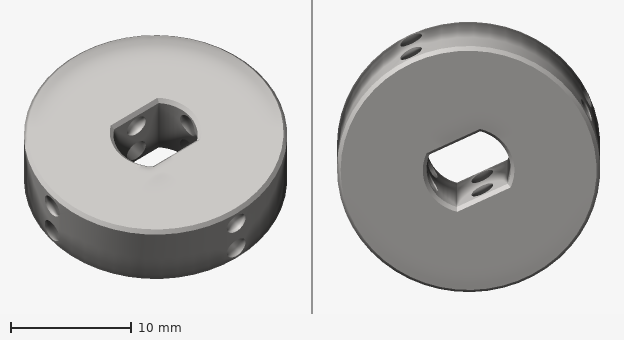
import cadquery as cq

body_diameter = 21.88
body_height = 6.25
chamfer_size = 0.3

bore_diameter = 7.0
bore_flat_width = 5.19

hole_diameter = 2.0
hole_row_heights = (body_height / 4, 3 * body_height / 4)


def make_body():
    """Disc standing on the XY plane, chamfered around both rims."""
    disc = cq.Workplane("XY").circle(body_diameter / 2).extrude(body_height)
    return disc.edges("%CIRCLE").chamfer(chamfer_size)


def make_bore():
    """Round bore with one flat facing +X and one facing -X, running the full height."""
    cylinder = cq.Workplane("XY").circle(bore_diameter / 2).extrude(body_height)
    slab = cq.Workplane("XY").rect(bore_flat_width, bore_diameter).extrude(body_height)
    return cylinder.intersect(slab)


def make_radial_holes():
    """Through holes along X and along Y, crossing on the axis in each row."""
    holes = cq.Workplane("XY")
    for height in hole_row_heights:
        for plane_name in ("XZ", "YZ"):
            hole = (
                cq.Workplane(plane_name, origin=(0, 0, height))
                .circle(hole_diameter / 2)
                .extrude(body_diameter, both=True)
            )
            holes = holes.add(hole)
    return holes.combine()


def chamfer_bore_mouths(body):
    """Chamfer the edges of the bore on both end faces, leaving the outer rims alone."""
    around_bore = cq.selectors.BoxSelector(
        (-bore_diameter, -bore_diameter, -body_height),
        (bore_diameter, bore_diameter, 2 * body_height),
        boundingbox=True,
    )
    return body.faces("<Z or >Z").edges(around_bore).chamfer(chamfer_size)


bored_body = make_body().cut(make_bore())
result = chamfer_bore_mouths(bored_body).cut(make_radial_holes())